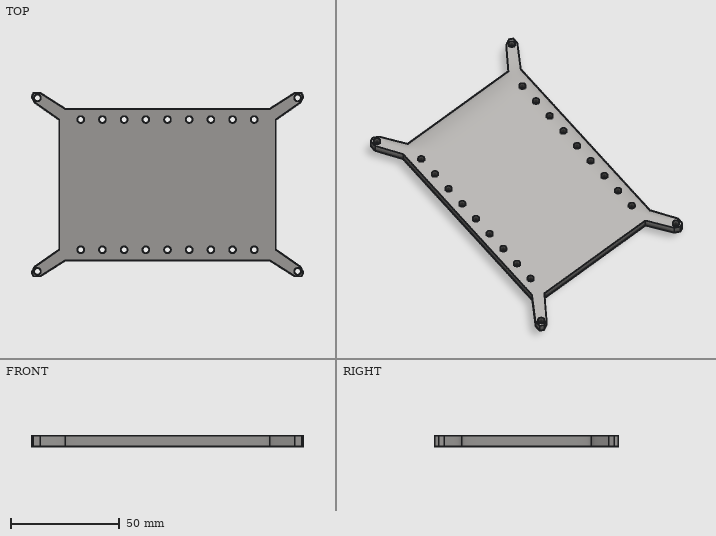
import cadquery as cq

length = 125.4
width = 84.6
thickness = 5.0

plate_length = 100.0
plate_width = 70.0

arm_root_x = 47.1
arm_root_y = 30.0

tip_flat_start_x = 58.7
tip_flat_end_x = 61.8
tip_point_y = 40.5
tip_inner_x = 61.3
tip_inner_y = 37.9

hole_diameter = 3.0
mount_spacing_x = 120.0
mount_spacing_y = 80.0
row_hole_count = 9
row_length = 80.0
row_spacing = 60.0


def make_arm(side_x, side_y):
    """Arm reaching out of the plate corner in the quadrant given by the two signs."""
    outline = [
        (0, 0),
        (arm_root_x, plate_width / 2),
        (tip_flat_start_x, width / 2),
        (tip_flat_end_x, width / 2),
        (length / 2, tip_point_y),
        (tip_inner_x, tip_inner_y),
        (plate_length / 2, arm_root_y),
    ]
    points = [(side_x * x, side_y * y) for x, y in outline]
    return cq.Workplane("XY").polyline(points).close().extrude(thickness)


def make_holes():
    """Pins that cut the two hole rows and the hole at each arm tip."""
    row_pitch = row_length / (row_hole_count - 1)
    rows = cq.Workplane("XY").rarray(row_pitch, row_spacing, row_hole_count, 2)
    mounts = cq.Workplane("XY").rarray(mount_spacing_x, mount_spacing_y, 2, 2)
    row_pins = rows.circle(hole_diameter / 2).extrude(thickness)
    mount_pins = mounts.circle(hole_diameter / 2).extrude(thickness)
    return row_pins, mount_pins


result = cq.Workplane("XY").box(plate_length, plate_width, thickness, centered=(True, True, False))
for side_x in (-1, 1):
    for side_y in (-1, 1):
        result = result.union(make_arm(side_x, side_y))
for pins in make_holes():
    result = result.cut(pins)